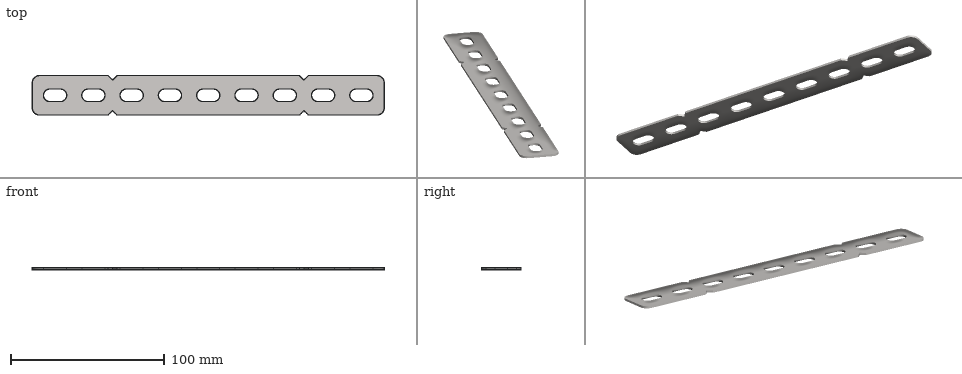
import cadquery as cq

LENGTH = 230.0
WIDTH = 26.0
THICKNESS = 1.5
CORNER_RADIUS = 5.0

SLOT_COUNT = 9
SLOT_PITCH = 25.0
SLOT_LENGTH = 15.0
SLOT_WIDTH = 8.0

NOTCH_DEPTH = 3.0
NOTCH_HALF_WIDTH = NOTCH_DEPTH
SLOTS_BEYOND_NOTCH = 2
NOTCH_X = (SLOT_COUNT / 2 - SLOTS_BEYOND_NOTCH) * SLOT_PITCH


def make_bar():
    """Rectangular bar with rounded corners, centred in X and Y, resting on Z = 0."""
    bar = cq.Workplane("XY").box(LENGTH, WIDTH, THICKNESS, centered=(True, True, False))
    return bar.edges("|Z").fillet(CORNER_RADIUS)


def make_slots():
    """Cutters for the evenly spaced round-ended slots."""
    return (
        cq.Workplane("XY")
        .rarray(SLOT_PITCH, 1, SLOT_COUNT, 1)
        .slot2D(SLOT_LENGTH, SLOT_WIDTH)
        .extrude(THICKNESS)
    )


def make_notch(x, side):
    """Cutter for one V notch at x, in the +Y edge (side = 1) or the -Y edge (side = -1)."""
    edge_y = side * WIDTH / 2
    tip_y = edge_y - side * NOTCH_DEPTH
    outline = [(x - NOTCH_HALF_WIDTH, edge_y), (x, tip_y), (x + NOTCH_HALF_WIDTH, edge_y)]
    return cq.Workplane("XY").polyline(outline).close().extrude(THICKNESS)


result = make_bar().cut(make_slots())
for notch_x in (-NOTCH_X, NOTCH_X):
    for edge_side in (-1, 1):
        result = result.cut(make_notch(notch_x, edge_side))